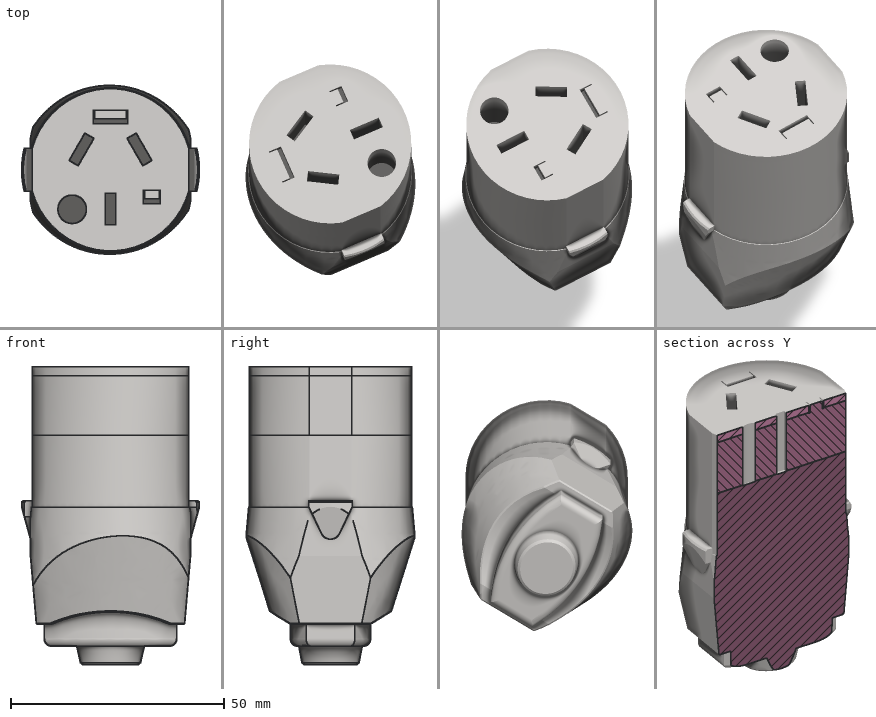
import cadquery as cq
import math

TOTAL_HEIGHT = 70.0
CAP_THICKNESS = 2.15
CAP_BOTTOM = TOTAL_HEIGHT - CAP_THICKNESS
RING_BOTTOM = 53.9
SHELL_TOP = 37.0
SHELL_BOTTOM = 9.5
CLAMP_BOTTOM = 4.4

BARREL_RADIUS = 19.05
BARREL_FLAT_WIDTH = 36.8

SHELL_TOP_RADIUS = 19.25
SHELL_DRAFT = 4.7
SHELL_FLAT_X = 18.78
FLAT_BEND_Z = 25.5
SHELL_BOTTOM_X = 17.4
CURVED_FACE_RADIUS = 28.2
CURVED_FACE_BOTTOM_Y = 13.3
CURVED_FACE_SLOPE_Y = 0.317
CURVED_FACE_SLOPE_X = -0.06
ARCH_HALF_SPAN = 14.0
ARCH_RISE = 2.9
SHELL_EDGE_CHAMFER = 0.3

TAB_REACH = 20.85
TAB_HALF_WIDTH = 5.07
TAB_TOP = 38.55
TAB_TIP_Z = 29.5
TAB_RAMP_TOP_Z = 37.1
TAB_POINT_Z = 26.4
LEFT_TAB_SHOULDER_Z = 34.8
RIGHT_TAB_SHOULDER_Z = SHELL_TOP
TAB_EDGE_CHAMFER = 0.4
TAB_OVERLAP = 1.0

CLAMP_HALF_LENGTH = 15.55
CLAMP_HALF_DEPTH = 9.42
CLAMP_END_HALF_DEPTH = 5.72
CLAMP_FILLET = 1.75

NOSE_TOP_RADII = (7.95, 7.45)
NOSE_RIM_RADII = (7.05, 6.7)
NOSE_TIP_RADII = (6.45, 6.1)
NOSE_RIM_Z = 0.55

BLADE_LENGTH = 7.4
BLADE_WIDTH = 2.45
EARTH_SLOT_Y = -9.26
ACTIVE_SLOT_X = 6.8
ACTIVE_SLOT_Y = 4.77
ACTIVE_SLOT_TURN = 30.0
ROUND_HOLE_CENTER = (-9.0, -9.28)
ROUND_HOLE_RADIUS = 3.34

WINDOWS = [(0.0, 10.85, 8.1), (9.68, -7.95, 4.0)]
WINDOW_DEPTH = 3.1
TONGUE_SIDE_GAP = 0.3
TONGUE_FRONT_GAP = 1.1


def barrel(bottom, top):
    """Round barrel with two side flats, between two levels."""
    height = top - bottom
    rod = cq.Workplane("XY").workplane(offset=bottom).circle(BARREL_RADIUS).extrude(height)
    flats = cq.Workplane("XY").workplane(offset=bottom).rect(BARREL_FLAT_WIDTH, 2 * BARREL_RADIUS)
    return rod.intersect(flats.extrude(height))


def contact_openings():
    """Three blade slots and one round hole, down through the cap and the ring."""
    depth = TOTAL_HEIGHT - RING_BOTTOM
    slots = [
        (0, EARTH_SLOT_Y, 0),
        (-ACTIVE_SLOT_X, ACTIVE_SLOT_Y, -ACTIVE_SLOT_TURN),
        (ACTIVE_SLOT_X, ACTIVE_SLOT_Y, ACTIVE_SLOT_TURN),
    ]
    face = cq.Workplane("XY").workplane(offset=RING_BOTTOM)
    openings = face.center(*ROUND_HOLE_CENTER).circle(ROUND_HOLE_RADIUS).extrude(depth)
    for x, y, turn in slots:
        slot = cq.Workplane("XY").rect(BLADE_WIDTH, BLADE_LENGTH).extrude(depth)
        slot = slot.rotate((0, 0, 0), (0, 0, 1), turn).translate((x, y, RING_BOTTOM))
        openings = openings.union(slot)
    return openings


def window_boxes():
    """Rectangular windows through the cap."""
    boxes = cq.Workplane("XY")
    for x, low_y, width in WINDOWS:
        box = cq.Workplane("XY").box(width, WINDOW_DEPTH, CAP_THICKNESS, centered=(True, False, False))
        boxes = boxes.add(box.translate((x, low_y, CAP_BOTTOM)))
    return boxes.combine()


def tongues():
    """Tongues of the ring that stand in the windows, flush with the cap's face."""
    posts = cq.Workplane("XY")
    for x, low_y, width in WINDOWS:
        post = cq.Workplane("XY").box(
            width - 2 * TONGUE_SIDE_GAP,
            WINDOW_DEPTH - TONGUE_FRONT_GAP,
            CAP_THICKNESS,
            centered=(True, False, False),
        )
        posts = posts.add(post.translate((x, low_y + TONGUE_FRONT_GAP, CAP_BOTTOM)))
    return posts.combine()


def curved_face_limit(side):
    """Obliquely swept disc whose edge is the sloped curved face on the given Y side."""
    height = SHELL_TOP - SHELL_BOTTOM
    center = cq.Vector(0, side * (CURVED_FACE_BOTTOM_Y - CURVED_FACE_RADIUS), SHELL_BOTTOM)
    edge = cq.Wire.makeCircle(CURVED_FACE_RADIUS, center, cq.Vector(0, 0, 1))
    sweep = cq.Vector(CURVED_FACE_SLOPE_X * height, side * CURVED_FACE_SLOPE_Y * height, height)
    return cq.Workplane(obj=cq.Solid.extrudeLinear(edge, [], sweep))


def shell():
    height = SHELL_TOP - SHELL_BOTTOM
    bottom_radius = SHELL_TOP_RADIUS + height * math.tan(math.radians(SHELL_DRAFT))
    body = (
        cq.Workplane("XZ")
        .moveTo(0, SHELL_BOTTOM)
        .lineTo(bottom_radius, SHELL_BOTTOM)
        .lineTo(SHELL_TOP_RADIUS, SHELL_TOP)
        .lineTo(0, SHELL_TOP)
        .close()
        .revolve(360, (0, 0, 0), (0, 1, 0))
    )

    flats = (
        cq.Workplane("XZ")
        .moveTo(-SHELL_BOTTOM_X, SHELL_BOTTOM)
        .lineTo(SHELL_BOTTOM_X, SHELL_BOTTOM)
        .lineTo(SHELL_FLAT_X, FLAT_BEND_Z)
        .lineTo(SHELL_FLAT_X, SHELL_TOP)
        .lineTo(-SHELL_FLAT_X, SHELL_TOP)
        .lineTo(-SHELL_FLAT_X, FLAT_BEND_Z)
        .close()
        .extrude(bottom_radius, both=True)
    )
    body = body.intersect(flats)

    for side in (-1, 1):
        body = body.intersect(curved_face_limit(side))

    arch = (
        cq.Workplane("XZ")
        .moveTo(-ARCH_HALF_SPAN, SHELL_BOTTOM)
        .threePointArc((0, SHELL_BOTTOM + ARCH_RISE), (ARCH_HALF_SPAN, SHELL_BOTTOM))
        .close()
        .extrude(bottom_radius, both=True)
    )
    body = body.cut(arch)

    low_zone = cq.selectors.BoxSelector(
        (-bottom_radius, -bottom_radius, CLAMP_BOTTOM),
        (bottom_radius, bottom_radius, SHELL_BOTTOM + ARCH_RISE),
    )
    rim = body.faces(low_zone).edges("(not |Y) or >X or <X")
    return rim.chamfer(SHELL_EDGE_CHAMFER)


def latch_tab(shoulder_z):
    """Tab on the +X flat: a V outline with a rounded tip, a round outer face and a ramp."""
    half_angle = math.atan2(TAB_HALF_WIDTH, shoulder_z - TAB_POINT_Z)
    tip_radius = (TAB_TIP_Z - TAB_POINT_Z) / (1 / math.sin(half_angle) - 1)
    outline = (
        cq.Workplane("YZ")
        .moveTo(-TAB_HALF_WIDTH, TAB_TOP)
        .lineTo(-TAB_HALF_WIDTH, shoulder_z)
        .lineTo(0, TAB_POINT_Z)
        .lineTo(TAB_HALF_WIDTH, shoulder_z)
        .lineTo(TAB_HALF_WIDTH, TAB_TOP)
        .close()
        .extrude(TAB_REACH)
    )
    tab = outline.edges("|X").edges("<Z").fillet(tip_radius)

    round_face = cq.Workplane("XY").circle(TAB_REACH).extrude(TAB_TOP)
    tab = tab.intersect(round_face.faces(">Z").edges().chamfer(TAB_EDGE_CHAMFER))

    inner_x = BARREL_FLAT_WIDTH / 2 - TAB_OVERLAP
    ramp_slope = (TAB_REACH - SHELL_FLAT_X) / (TAB_RAMP_TOP_Z - TAB_TIP_Z)
    ramp_top_x = TAB_REACH + (TAB_TOP - TAB_RAMP_TOP_Z) * ramp_slope
    ramp_bottom_x = SHELL_FLAT_X - (TAB_TIP_Z - TAB_POINT_Z) * ramp_slope
    ramp = (
        cq.Workplane("XZ")
        .moveTo(inner_x, TAB_POINT_Z)
        .lineTo(ramp_bottom_x, TAB_POINT_Z)
        .lineTo(ramp_top_x, TAB_TOP)
        .lineTo(inner_x, TAB_TOP)
        .close()
        .extrude(TAB_HALF_WIDTH, both=True)
    )
    return tab.intersect(ramp)


def cord_clamp():
    """Block with bowed front and back faces and a rounded bottom edge."""
    block = (
        cq.Workplane("XY")
        .workplane(offset=CLAMP_BOTTOM)
        .moveTo(-CLAMP_HALF_LENGTH, -CLAMP_END_HALF_DEPTH)
        .threePointArc((0, -CLAMP_HALF_DEPTH), (CLAMP_HALF_LENGTH, -CLAMP_END_HALF_DEPTH))
        .lineTo(CLAMP_HALF_LENGTH, CLAMP_END_HALF_DEPTH)
        .threePointArc((0, CLAMP_HALF_DEPTH), (-CLAMP_HALF_LENGTH, CLAMP_END_HALF_DEPTH))
        .close()
        .extrude(SHELL_TOP - CLAMP_BOTTOM)
    )
    return block.faces("<Z").edges().fillet(CLAMP_FILLET)


def cable_nose():
    """Oval taper with a chamfered tip."""
    taper = (
        cq.Workplane("XY")
        .workplane(offset=NOSE_RIM_Z)
        .ellipse(*NOSE_RIM_RADII)
        .workplane(offset=CLAMP_BOTTOM - NOSE_RIM_Z)
        .ellipse(*NOSE_TOP_RADII)
        .loft(combine=True)
    )
    tip = (
        cq.Workplane("XY")
        .ellipse(*NOSE_TIP_RADII)
        .workplane(offset=NOSE_RIM_Z)
        .ellipse(*NOSE_RIM_RADII)
        .loft(combine=True)
    )
    return taper.union(tip)


cap = barrel(CAP_BOTTOM, TOTAL_HEIGHT).cut(contact_openings()).cut(window_boxes())

ring = barrel(RING_BOTTOM, CAP_BOTTOM).cut(contact_openings()).union(tongues())

right_tab = latch_tab(RIGHT_TAB_SHOULDER_Z)
left_tab = latch_tab(LEFT_TAB_SHOULDER_Z).mirror("YZ")
base = barrel(SHELL_TOP, RING_BOTTOM)
for feature in (shell(), cord_clamp(), cable_nose(), right_tab, left_tab):
    base = base.union(feature)

result = cq.Compound.makeCompound([cap.val(), ring.val(), base.val()])